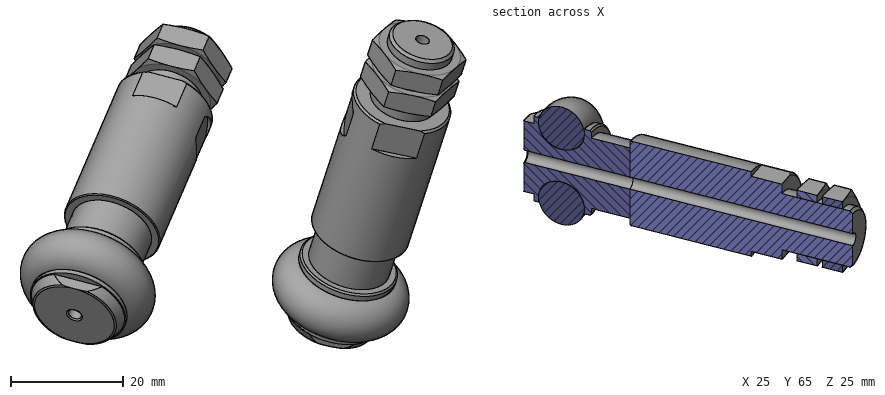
import cadquery as cq
import math

TOTAL_LENGTH = 65.0
BORE_RADIUS = 2.5 / 2

BARREL_RADIUS = 18.0 / 2
BARREL_FRONT_Y = 21.0
BARREL_REAR_Y = 51.0
BARREL_FRONT_CHAMFER = 0.2
BARREL_REAR_CHAMFER = 0.4
STUD_RADIUS = 12.0 / 2
STUD_CHAMFER = 0.5
BARREL_FLAT_HEIGHT = 8.0
BARREL_FLAT_LENGTH = 6.05
SPOTFACE_RADIUS = 4.0
SPOTFACE_FLOOR_X = 8.4
SPOTFACE_Y = 45.7

NECK_RADIUS = 15.0 / 2
HEAD_RADIUS = BARREL_RADIUS
HEAD_LENGTH = 13.45
HEAD_REAR_CHAMFER = 0.3
HEAD_TAPER_LENGTH = 2.0
HEAD_TAPER_START_RADIUS = 8.8
HEAD_TAPER_END_RADIUS = 7.85
FACE_RADIUS = NECK_RADIUS
FACE_BEVEL_LENGTH = 0.1
HEAD_FLAT_HEIGHT = NECK_RADIUS
GROOVE_EDGE_CHAMFER = 0.25
BORE_CHAMFER = 0.25

RING_OUTER_RADIUS = 24.95 / 2
RING_SECTION_RADIUS = 9.0 / 2
RING_CENTRE_RADIUS = RING_OUTER_RADIUS - RING_SECTION_RADIUS
RING_Y = 7.5

NUT_ACROSS_FLATS = 15.0
NUT_THICKNESS = 4.0
NUT_FRONT_POSITIONS = [53.95, 58.95]
NUT_CORNER_RADIUS = NUT_ACROSS_FLATS / math.sqrt(3)
NUT_FACE_RADIUS = NUT_ACROSS_FLATS / 2
NUT_CHAMFER_DEPTH = 0.3


def revolve_about_y(profile):
    """Revolve a closed (radius, Y) profile fully around the Y axis."""
    return profile.close().revolve(360, (0, 0, 0), (0, 1, 0))


def cylinder(radius, start_y, length):
    return cq.Workplane("XZ", origin=(0, start_y, 0)).circle(radius).extrude(-length)


def cut_wrench_flats(body, height, start_y, length):
    """Remove everything above and below a pair of flats parallel to XY."""
    slab_depth = BARREL_RADIUS
    for side in (1, -1):
        centre = (0, start_y + length / 2, side * (height + slab_depth / 2))
        slab = cq.Workplane("XY").box(2 * BARREL_RADIUS, length, slab_depth).translate(centre)
        body = body.cut(slab)
    return body


def make_barrel():
    profile = cq.Workplane("XY").polyline([
        (BORE_RADIUS, BARREL_FRONT_Y),
        (BARREL_RADIUS - BARREL_FRONT_CHAMFER, BARREL_FRONT_Y),
        (BARREL_RADIUS, BARREL_FRONT_Y + BARREL_FRONT_CHAMFER),
        (BARREL_RADIUS, BARREL_REAR_Y - BARREL_REAR_CHAMFER),
        (BARREL_RADIUS - BARREL_REAR_CHAMFER, BARREL_REAR_Y),
        (STUD_RADIUS, BARREL_REAR_Y),
        (STUD_RADIUS, TOTAL_LENGTH - STUD_CHAMFER),
        (STUD_RADIUS - STUD_CHAMFER, TOTAL_LENGTH),
        (BORE_RADIUS, TOTAL_LENGTH),
    ])
    body = revolve_about_y(profile)
    flat_start_y = BARREL_REAR_Y - BARREL_FLAT_LENGTH
    body = cut_wrench_flats(body, BARREL_FLAT_HEIGHT, flat_start_y, BARREL_FLAT_LENGTH)
    spotface = (
        cq.Workplane("YZ", origin=(SPOTFACE_FLOOR_X, SPOTFACE_Y, 0))
        .circle(SPOTFACE_RADIUS)
        .extrude(BARREL_RADIUS - SPOTFACE_FLOOR_X)
    )
    return body.cut(spotface)


def make_ring():
    profile = cq.Workplane("XY").center(RING_CENTRE_RADIUS, RING_Y).circle(RING_SECTION_RADIUS)
    return profile.revolve(360, (-RING_CENTRE_RADIUS, 0, 0), (-RING_CENTRE_RADIUS, 1, 0))


def make_plunger(ring_body):
    ring_half_width = math.sqrt(RING_SECTION_RADIUS**2 - (HEAD_RADIUS - RING_CENTRE_RADIUS)**2)
    groove_front_y = RING_Y - ring_half_width
    groove_rear_y = RING_Y + ring_half_width
    groove_edge_radius = HEAD_RADIUS - GROOVE_EDGE_CHAMFER
    profile = cq.Workplane("XY").polyline([
        (BORE_RADIUS + BORE_CHAMFER, 0),
        (FACE_RADIUS, 0),
        (HEAD_TAPER_END_RADIUS, FACE_BEVEL_LENGTH),
        (HEAD_TAPER_START_RADIUS, HEAD_TAPER_LENGTH),
        (HEAD_RADIUS, HEAD_TAPER_LENGTH),
        (HEAD_RADIUS, groove_front_y - GROOVE_EDGE_CHAMFER),
        (groove_edge_radius, groove_front_y),
        (groove_edge_radius, groove_rear_y),
        (HEAD_RADIUS, groove_rear_y + GROOVE_EDGE_CHAMFER),
        (HEAD_RADIUS, HEAD_LENGTH - HEAD_REAR_CHAMFER),
        (HEAD_RADIUS - HEAD_REAR_CHAMFER, HEAD_LENGTH),
        (NECK_RADIUS, HEAD_LENGTH),
        (NECK_RADIUS, BARREL_FRONT_Y),
        (BORE_RADIUS, BARREL_FRONT_Y),
        (BORE_RADIUS, BORE_CHAMFER),
    ])
    body = revolve_about_y(profile)
    body = cut_wrench_flats(body, HEAD_FLAT_HEIGHT, 0, HEAD_TAPER_LENGTH)
    return body.cut(ring_body)


def make_nut(front_y):
    rear_y = front_y + NUT_THICKNESS
    hexagon = (
        cq.Workplane("XZ", origin=(0, front_y, 0))
        .polygon(6, 2 * NUT_CORNER_RADIUS)
        .extrude(-NUT_THICKNESS)
    )
    chamfer_envelope = revolve_about_y(cq.Workplane("XY").polyline([
        (0, front_y),
        (NUT_FACE_RADIUS, front_y),
        (NUT_CORNER_RADIUS, front_y + NUT_CHAMFER_DEPTH),
        (NUT_CORNER_RADIUS, rear_y - NUT_CHAMFER_DEPTH),
        (NUT_FACE_RADIUS, rear_y),
        (0, rear_y),
    ]))
    return hexagon.intersect(chamfer_envelope).cut(cylinder(STUD_RADIUS, front_y, NUT_THICKNESS))


barrel = make_barrel()
ring = make_ring()
plunger = make_plunger(ring)
nuts = [make_nut(front_y) for front_y in NUT_FRONT_POSITIONS]

result = cq.Compound.makeCompound([
    barrel.solids().val(),
    plunger.solids().val(),
    ring.val(),
    *[nut.solids().val() for nut in nuts],
])